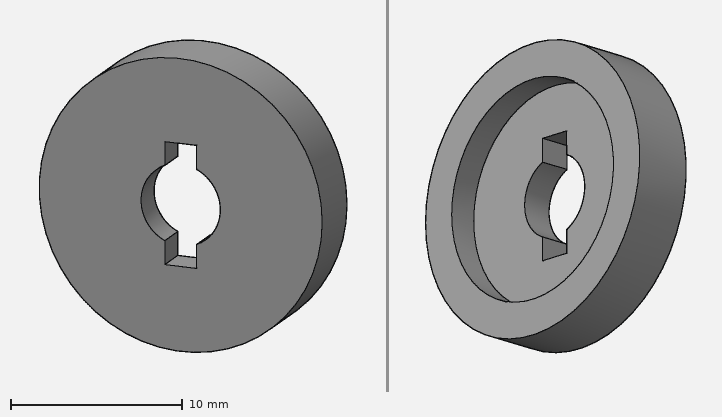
import cadquery as cq

disc_diameter = 17.88
disc_thickness = 3.8

recess_diameter = 13.5
web_thickness = 2.0
recess_depth = disc_thickness - web_thickness

bore_diameter = 5.0
keyway_width = 2.0
keyway_length = 7.5


def front_plane(y=0.0):
    """Sketch plane parallel to the front face, at the given Y.

    Its normal is -Y, so negative extrusions run toward the back (+Y).
    """
    return cq.Workplane("XZ", origin=(0, y, 0))


def make_disc():
    """Plain disc extending from the front face toward +Y."""
    return front_plane().circle(disc_diameter / 2).extrude(-disc_thickness)


def make_recess():
    """Cylinder removed from the back face, down to the web."""
    return front_plane(web_thickness).circle(recess_diameter / 2).extrude(-recess_depth)


def make_keyed_opening():
    """Round bore joined with two opposite keyways, running through the web."""
    bore = front_plane().circle(bore_diameter / 2).extrude(-web_thickness)
    keyways = front_plane().rect(keyway_width, keyway_length).extrude(-web_thickness)
    return bore.union(keyways)


result = make_disc().cut(make_recess()).cut(make_keyed_opening())